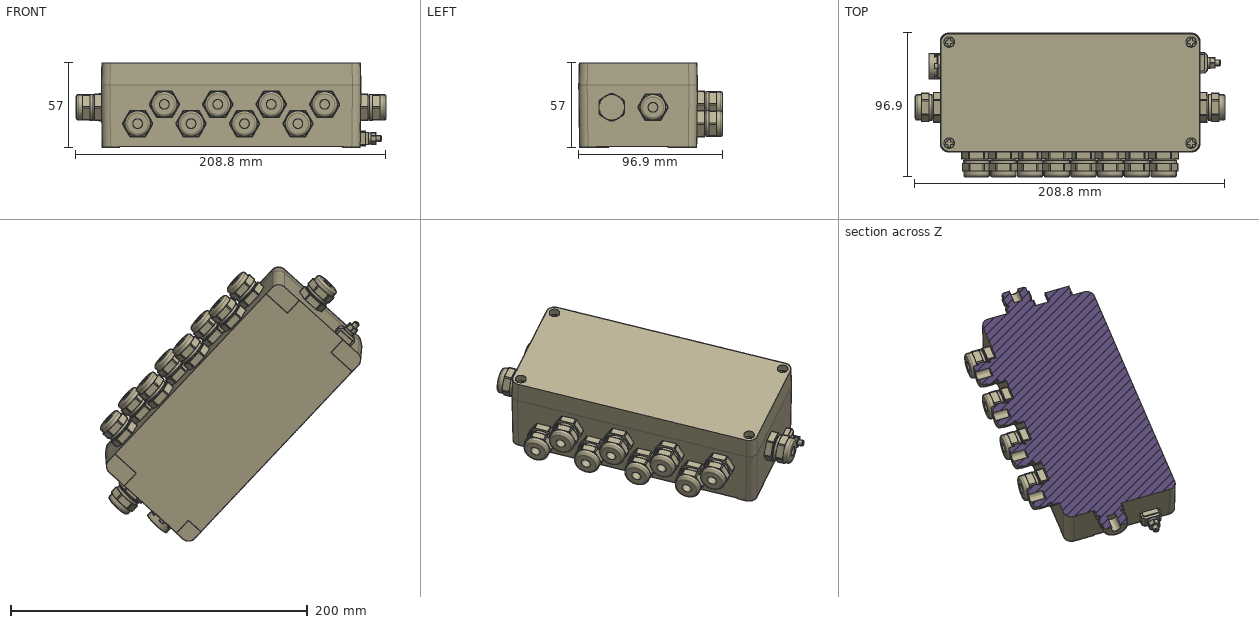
import cadquery as cq
import math

box_length = 175.0
box_width = 80.05
box_height = 57.0
seam_height = 42.0
base_inset = 0.55
lid_inset = 0.4
corner_radius = 5.7
foot_length = 11.9
foot_width = 19.5
short_foot_width = 11.6
foot_height = 0.6
wall_overlap = 2.0

screw_inset = 6.0
screw_well_diameter = 7.0
screw_well_depth = 5.0
screw_recess_length = 5.0
screw_recess_width = 1.6
screw_recess_core = 2.8
screw_recess_depth = 1.5

gland_length = 16.875
gland_base_end = 4.6
gland_neck_end = 5.6
gland_collar_end = 7.7
gland_nut_end = 12.7
gland_base_flats = 18.0
gland_base_corners = 20.3
gland_neck_diameter = 15.5
gland_collar_diameter = 17.5
gland_nut_flats = 17.2
gland_nut_corners = 19.3
gland_dome_diameter = 17.2
gland_dome_fillet = 1.5
gland_bore_diameter = 6.5
gland_bore_depth = 10.0

front_gland_pitch = 36.0
front_gland_count = 4
upper_row_height = 29.0
lower_row_height = 16.0
row_shift = front_gland_pitch / 4
side_gland_y = -10.0
side_fitting_height = 27.0

plug_y = 17.8
plug_length = 7.7
plug_flange_end = 1.5
plug_groove_end = 2.1
plug_flange_flats = 17.0
plug_flange_corners = 18.7
plug_cap_diameter = 17.3
plug_core_diameter = 15.0
plug_notch_count = 6
plug_notch_width = 3.4
plug_notch_end = 3.9

terminal_y = 20.0
terminal_height = 6.0
clamp_length = 5.0
clamp_width = 13.8
clamp_height = 8.2
clamp_chamfer = 1.8
pad_length = 3.1
pad_width = 11.2
pad_height = 10.0
washer_diameter = 7.5
washer_end = 6.7
nut_flats = 7.0
nut_corners = 7.9
nut_end = 10.1
stud_diameter = 4.0
stud_end = 13.8
stud_chamfer = 0.6


def rounded_sketch(inset):
    """Box outline drawn in from the seam outline, corners rounded."""
    return (
        cq.Sketch()
        .rect(box_length - 2 * inset, box_width - 2 * inset)
        .vertices()
        .fillet(corner_radius)
    )


def drafted_block(bottom_inset, bottom_z, top_inset, top_z):
    """Rounded block lofted between two insets of the seam outline."""
    bottom = rounded_sketch(bottom_inset)
    top = rounded_sketch(top_inset).moved(cq.Location(cq.Vector(0, 0, top_z - bottom_z)))
    return cq.Workplane("XY", origin=(0, 0, bottom_z)).placeSketch(bottom, top).loft(ruled=True)


def make_box():
    base = drafted_block(base_inset, 0, 0, seam_height)
    lid = drafted_block(0, seam_height, lid_inset, box_height)
    channel_x = box_length - 2 * (base_inset + foot_length)
    channel_y = box_width - 2 * (base_inset + foot_width)
    lengthwise = cq.Workplane("XY").rect(box_length, channel_y).extrude(foot_height)
    crosswise = cq.Workplane("XY").rect(channel_x, box_width).extrude(foot_height)
    short_foot_relief = (
        cq.Workplane("XY", origin=(-box_length / 2, channel_y / 2, 0))
        .rect(box_length / 2, foot_width - short_foot_width, centered=False)
        .extrude(foot_height)
    )
    return base.union(lid).cut(lengthwise).cut(crosswise).cut(short_foot_relief)


def make_screw_well():
    """Cutter for one lid screw: a well down to the head, then its cross recess."""
    head_z = box_height - screw_well_depth
    well = cq.Workplane("XY", origin=(0, 0, head_z)).circle(screw_well_diameter / 2).extrude(screw_well_depth)
    recess = (
        cq.Workplane("XY", origin=(0, 0, head_z))
        .rect(screw_recess_length, screw_recess_width)
        .extrude(-screw_recess_depth)
    )
    upright = recess.rotate((0, 0, 0), (0, 0, 1), 90)
    core = (
        cq.Workplane("XY", origin=(0, 0, head_z))
        .rect(screw_recess_core, screw_recess_core)
        .extrude(-screw_recess_depth)
    )
    return well.union(recess).union(upright).union(core)


def disc(diameter, start, end):
    """Cylinder on the Z axis between two heights."""
    return cq.Workplane("XY", origin=(0, 0, start)).circle(diameter / 2).extrude(end - start)


def hexagon(flats, corners, start, end):
    """Hexagonal prism, corners on X, with its corners turned down to a diameter."""
    prism = (
        cq.Workplane("XY", origin=(0, 0, start))
        .polygon(6, flats / math.cos(math.pi / 6))
        .extrude(end - start)
    )
    return prism.intersect(disc(corners, start, end))


def make_gland():
    base = hexagon(gland_base_flats, gland_base_corners, -wall_overlap, gland_base_end)
    neck = disc(gland_neck_diameter, gland_base_end, gland_neck_end)
    collar = disc(gland_collar_diameter, gland_neck_end, gland_collar_end)
    nut = hexagon(gland_nut_flats, gland_nut_corners, gland_collar_end, gland_nut_end)
    dome = disc(gland_dome_diameter, gland_nut_end, gland_length).faces(">Z").edges().fillet(gland_dome_fillet)
    bore = disc(gland_bore_diameter, gland_length - gland_bore_depth, gland_length)
    return base.union(neck).union(collar).union(nut).union(dome).cut(bore)


def make_plug():
    flange = hexagon(plug_flange_flats, plug_flange_corners, -wall_overlap, plug_flange_end)
    core = disc(plug_core_diameter, plug_flange_end, plug_length)
    rim = disc(plug_cap_diameter, plug_groove_end, plug_length)
    for index in range(plug_notch_count):
        notch = (
            cq.Workplane("XY", origin=(0, 0, plug_groove_end))
            .center(plug_cap_diameter / 2, 0)
            .rect(plug_cap_diameter / 2, plug_notch_width)
            .extrude(plug_notch_end - plug_groove_end)
        )
        rim = rim.cut(notch.rotate((0, 0, 0), (0, 0, 1), index * 360 / plug_notch_count))
    return flange.union(core).union(rim)


def make_terminal():
    """Earthing terminal, with local Y becoming Z and local X becoming Y on the wall."""
    reach = wall_overlap + clamp_length
    clamp = (
        cq.Workplane("XY", origin=(0, 0, -wall_overlap))
        .rect(clamp_width, clamp_height)
        .extrude(reach)
        .faces(">Z")
        .edges("|Y")
        .chamfer(clamp_chamfer)
    )
    pad = (
        cq.Workplane("XY", origin=(0, 0, -wall_overlap))
        .rect(pad_width, pad_height)
        .extrude(wall_overlap + pad_length)
    )
    washer = disc(washer_diameter, clamp_length, washer_end)
    nut = hexagon(nut_flats, nut_corners, washer_end, nut_end).rotate((0, 0, 0), (0, 0, 1), 90)
    stud = disc(stud_diameter, nut_end, stud_end).faces(">Z").edges().chamfer(stud_chamfer)
    return clamp.union(pad).union(washer).union(nut).union(stud)


def on_front(fitting, x, z):
    turned = fitting.rotate((0, 0, 0), (1, 0, 0), 90)
    return turned.translate((x, -box_width / 2, z))


def on_side(fitting, direction, y, z):
    """Turn a fitting onto the +X wall (direction 1) or the -X wall (direction -1)."""
    turned = fitting.rotate((0, 0, 0), (1, 0, 0), 90).rotate((0, 0, 0), (0, 0, 1), direction * 90)
    return turned.translate((direction * box_length / 2, y, z))


result = make_box()

screw_well = make_screw_well()
for side_x in (-1, 1):
    for side_y in (-1, 1):
        screw_x = side_x * (box_length / 2 - screw_inset)
        screw_y = side_y * (box_width / 2 - screw_inset)
        result = result.cut(screw_well.translate((screw_x, screw_y, 0)))

gland = make_gland()
for index in range(front_gland_count):
    row_x = (index - (front_gland_count - 1) / 2) * front_gland_pitch
    result = result.union(on_front(gland, row_x + row_shift, upper_row_height))
    result = result.union(on_front(gland, row_x - row_shift, lower_row_height))

for direction in (-1, 1):
    result = result.union(on_side(gland, direction, side_gland_y, side_fitting_height))

plug = make_plug().rotate((0, 0, 0), (0, 0, 1), 90)
result = result.union(on_side(plug, -1, plug_y, side_fitting_height))

result = result.union(on_side(make_terminal(), 1, terminal_y, terminal_height))